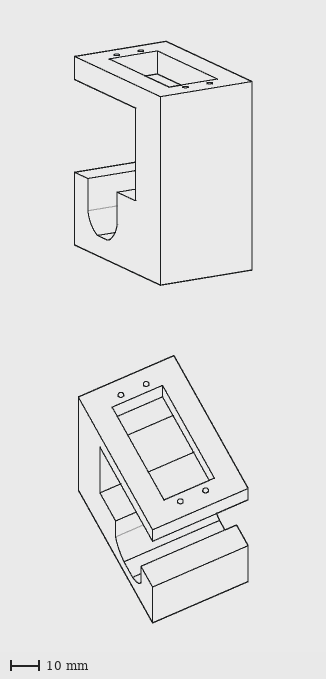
import cadquery as cq
import math

LENGTH = 60.0
WIDTH = 38.0
HEIGHT = 70.0

ARM_THICKNESS = 8.6
BASE_HEIGHT = 27.0
COLUMN_FACE_X = 42.5

CHANNEL_CENTER_X = 19.6
CHANNEL_WIDTH = 20.45
CHANNEL_RADIUS = 10.5
FLOOR_WIDTH = 7.0
FLOOR_Z = 7.55

WINDOW_LENGTH = 41.85
WINDOW_WIDTH = 20.0
HOLE_DIAMETER = 2.0
HOLE_SPACING_X = 48.0
HOLE_SPACING_Y = 10.0


def make_body():
    """C-shaped block, open towards -X."""
    arm_underside_z = HEIGHT - ARM_THICKNESS
    gap_height = arm_underside_z - BASE_HEIGHT
    block = cq.Workplane("XY").box(LENGTH, WIDTH, HEIGHT, centered=False)
    gap = (
        cq.Workplane("XY", origin=(0, 0, BASE_HEIGHT))
        .box(COLUMN_FACE_X, WIDTH, gap_height, centered=False)
    )
    return block.cut(gap)


def make_channel():
    """Channel volume: upright walls, then arcs about one axis down to the flat floor."""
    half_width = CHANNEL_WIDTH / 2
    half_floor = FLOOR_WIDTH / 2
    axis_z = FLOOR_Z + math.sqrt(CHANNEL_RADIUS**2 - half_floor**2)
    wall_foot_z = axis_z - math.sqrt(CHANNEL_RADIUS**2 - half_width**2)

    wall_foot_angle = math.atan2(axis_z - wall_foot_z, half_width)
    floor_edge_angle = math.atan2(axis_z - FLOOR_Z, half_floor)
    middle_angle = (wall_foot_angle + floor_edge_angle) / 2
    arc_middle_x = CHANNEL_RADIUS * math.cos(middle_angle)
    arc_middle_z = axis_z - CHANNEL_RADIUS * math.sin(middle_angle)

    return (
        cq.Workplane("XZ", origin=(CHANNEL_CENTER_X, 0, 0))
        .moveTo(-half_width, BASE_HEIGHT)
        .lineTo(-half_width, wall_foot_z)
        .threePointArc((-arc_middle_x, arc_middle_z), (-half_floor, FLOOR_Z))
        .lineTo(half_floor, FLOOR_Z)
        .threePointArc((arc_middle_x, arc_middle_z), (half_width, wall_foot_z))
        .lineTo(half_width, BASE_HEIGHT)
        .close()
        .extrude(-WIDTH)
    )


def make_top_openings():
    """Window and four holes, all as deep as the arm is thick."""
    top_center = cq.Workplane("XY", origin=(LENGTH / 2, WIDTH / 2, HEIGHT))
    window = top_center.rect(WINDOW_LENGTH, WINDOW_WIDTH).extrude(-ARM_THICKNESS)
    holes = (
        top_center.rect(HOLE_SPACING_X, HOLE_SPACING_Y, forConstruction=True)
        .vertices()
        .circle(HOLE_DIAMETER / 2)
        .extrude(-ARM_THICKNESS)
    )
    return window.add(holes).combine()


result = make_body().cut(make_channel()).cut(make_top_openings())